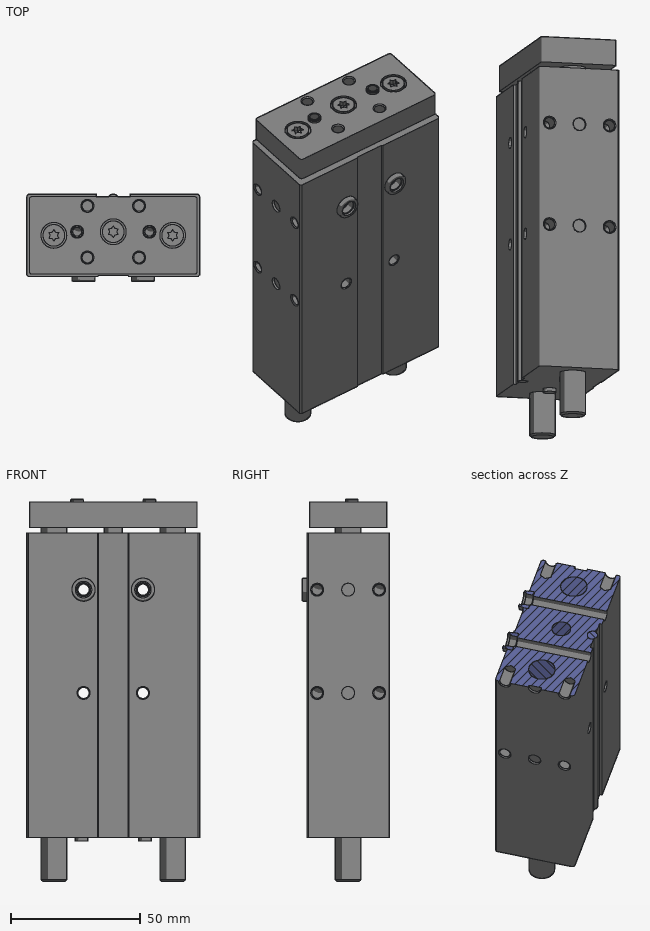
import cadquery as cq
import math

housing_width = 67.0
housing_depth = 32.0
housing_height = 118.0
front_edge_chamfer = 0.7
back_edge_radius = 1.2
front_channel_half_width = 5.7
front_channel_depth = 0.4
back_channel_half_width = 6.5
back_channel_depth = 1.0

plate_width = 65.0
plate_depth = 30.0
plate_height = 10.0
plate_gap = 2.0
plate_edge_radius = 1.0

guide_x = 23.0
guide_diameter = 10.0
guide_overhang = 17.0
guide_foot_chamfer = 0.7
head_rim_diameter = 8.4
head_rim_depth = 1.0
piston_y = 1.4
piston_diameter = 7.0
piston_insertion = 100.0
head_diameter = guide_diameter
head_height = 5.0

socket_tip_radius = 2.2
socket_root_radius = 1.4
socket_lobes = 6
socket_depth = 2.0

thread_core_diameter = 4.13
thread_mouth_diameter = 5.0
drill_tip_angle = 118.0
mount_hole_diameter = 4.3
mount_x = 11.5
lower_level = 56.0
upper_level = 96.0
mount_levels = (lower_level, upper_level)
side_thread_y = 12.0
side_thread_depth = 8.0
locating_hole_diameter = 5.0
locating_hole_depth = 1.0
plate_thread_offset = 10.0

sleeve_diameter = 9.0
sleeve_mouth_diameter = 6.4
sleeve_mouth_depth = 1.0
sleeve_bore = 5.4
sleeve_projection = 1.85
sleeve_insertion = 2.1
sleeve_rim_radius = 0.6

pin_x = 14.0
pin_diameter = 5.0
pin_bore = 3.4
pin_projection = 1.1
pin_insertion = 3.0
pin_bore_depth = 3.0
pin_chamfer = 0.3

plug_x = 12.3
plug_diameter = 5.0
plug_projection = 1.4

bar_diameter = 4.0

front_y = -housing_depth / 2
back_y = housing_depth / 2
side_x = housing_width / 2
back_floor_y = back_y - back_channel_depth
plate_bottom = housing_height + plate_gap
plate_top = plate_bottom + plate_height


def cylinder(start, direction, diameter, length):
    """Solid cylinder that runs from a start point along a direction."""
    return cq.Workplane(cq.Solid.makeCylinder(diameter / 2, length, cq.Vector(*start), cq.Vector(*direction)))


def cone(start, direction, start_diameter, end_diameter, length):
    """Solid cone or frustum that runs from a start point along a direction."""
    return cq.Workplane(
        cq.Solid.makeCone(
            start_diameter / 2, end_diameter / 2, length, cq.Vector(*start), cq.Vector(*direction)
        )
    )


def thread_mouth(start, direction):
    """45 degree countersink at the mouth of a threaded hole."""
    depth = (thread_mouth_diameter - thread_core_diameter) / 2
    return cone(start, direction, thread_mouth_diameter, thread_core_diameter, depth)


def drilled_hole(start, direction, diameter, depth):
    """Blind hole that ends in a drill tip."""
    tip_length = diameter / 2 / math.tan(math.radians(drill_tip_angle / 2))
    tip_start = cq.Vector(*start) + cq.Vector(*direction) * depth
    tip = cone(tip_start.toTuple(), direction, diameter, 0, tip_length)
    return cylinder(start, direction, diameter, depth).union(tip)


def star_socket(x, y):
    """Six-lobed screw socket sunk into the plate's top face."""
    points = []
    for step in range(2 * socket_lobes):
        radius = socket_root_radius if step % 2 else socket_tip_radius
        angle = math.pi / 2 + step * math.pi / socket_lobes
        points.append((x + radius * math.cos(angle), y + radius * math.sin(angle)))
    floor = cq.Workplane("XY", origin=(0, 0, plate_top - socket_depth))
    return floor.polyline(points).close().extrude(socket_depth)


def rim_step(x, y):
    """Ring that steps down the rim of a head below the plate's top face."""
    start = (x, y, plate_top - head_rim_depth)
    ring = cylinder(start, (0, 0, 1), head_diameter, head_rim_depth)
    return ring.cut(cylinder(start, (0, 0, 1), head_rim_diameter, head_rim_depth))


def make_guide(x):
    length = guide_overhang + plate_top
    rod = cylinder((x, 0, -guide_overhang), (0, 0, 1), guide_diameter, length)
    rod = rod.faces("<Z").chamfer(guide_foot_chamfer)
    return rod.cut(rim_step(x, 0)).cut(star_socket(x, 0))


def piston_blank():
    shank_bottom = housing_height - piston_insertion
    shank = cylinder((0, piston_y, shank_bottom), (0, 0, 1), piston_diameter, plate_top - shank_bottom)
    head = cylinder((0, piston_y, plate_top - head_height), (0, 0, 1), head_diameter, head_height)
    return shank.union(head)


def make_piston():
    return piston_blank().cut(rim_step(0, piston_y)).cut(star_socket(0, piston_y))


def make_sleeve(x):
    start = (x, front_y - sleeve_projection, upper_level)
    length = sleeve_projection + sleeve_insertion
    sleeve = cylinder(start, (0, 1, 0), sleeve_diameter, length)
    sleeve = sleeve.faces("<Y").edges().fillet(sleeve_rim_radius)
    sleeve = sleeve.cut(cylinder(start, (0, 1, 0), sleeve_bore, length))
    return sleeve.cut(cylinder(start, (0, 1, 0), sleeve_mouth_diameter, sleeve_mouth_depth))


def make_pin(x):
    top = plate_top + pin_projection
    length = pin_insertion + pin_projection
    pin = cylinder((x, piston_y, plate_top - pin_insertion), (0, 0, 1), pin_diameter, length)
    pin = pin.faces(">Z").chamfer(pin_chamfer)
    return pin.cut(drilled_hole((x, piston_y, top), (0, 0, -1), pin_bore, pin_bore_depth))


def make_bar():
    return cylinder((0, back_y - bar_diameter / 2, 0), (0, 0, 1), bar_diameter, housing_height)


def make_plate():
    underside = cq.Workplane("XY", origin=(0, 0, plate_bottom))
    plate = underside.rect(plate_width, plate_depth).extrude(plate_height)
    plate = plate.edges("|Z").fillet(plate_edge_radius)
    for side in (-1, 1):
        guide_seat = (side * guide_x, 0, plate_bottom)
        plate = plate.cut(cylinder(guide_seat, (0, 0, 1), guide_diameter, plate_height))
        pin_seat = (side * pin_x, piston_y, plate_top - pin_insertion)
        plate = plate.cut(cylinder(pin_seat, (0, 0, 1), pin_diameter, pin_insertion))
        for end in (-1, 1):
            place = (side * plate_thread_offset, piston_y + end * plate_thread_offset, plate_top)
            plate = plate.cut(cylinder(place, (0, 0, -1), thread_core_diameter, plate_height))
            plate = plate.cut(thread_mouth(place, (0, 0, -1)))
    return plate.cut(piston_blank())


def housing_block():
    block = cq.Workplane("XY").rect(housing_width, housing_depth).extrude(housing_height)
    block = block.edges("|Z and <Y").chamfer(front_edge_chamfer)
    block = block.edges("|Z and >Y").fillet(back_edge_radius)
    floor_y = front_y + front_channel_depth
    mouth_half_width = front_channel_half_width + front_channel_depth
    front_channel = (
        cq.Workplane("XY")
        .moveTo(-mouth_half_width, front_y)
        .lineTo(-front_channel_half_width, floor_y)
        .lineTo(front_channel_half_width, floor_y)
        .lineTo(mouth_half_width, front_y)
        .close()
        .extrude(housing_height)
    )
    back_channel = cq.Workplane("XY").box(
        2 * back_channel_half_width, back_channel_depth, housing_height, centered=(True, False, False)
    )
    return block.cut(front_channel).cut(back_channel.translate((0, back_floor_y, 0)))


def cut_mounting_holes(body):
    """Through holes from front to back; the upper pair has seats for the sleeves."""
    inward = (0, 1, 0)
    for x in (-mount_x, mount_x):
        for level in mount_levels:
            body = body.cut(cylinder((x, front_y, level), inward, mount_hole_diameter, housing_depth))
        body = body.cut(cylinder((x, front_y, upper_level), inward, sleeve_diameter, sleeve_insertion))
        body = body.cut(thread_mouth((x, front_y + sleeve_insertion, upper_level), inward))
        body = body.cut(thread_mouth((x, front_y, lower_level), inward))
    return body


def cut_side_holes(body):
    """Threaded holes and shallow locating holes on both narrow sides."""
    for side in (-1, 1):
        inward = (-side, 0, 0)
        for level in mount_levels:
            middle = (side * side_x, 0, level)
            body = body.cut(cylinder(middle, inward, locating_hole_diameter, locating_hole_depth))
            for y in (-side_thread_y, side_thread_y):
                place = (side * side_x, y, level)
                body = body.cut(drilled_hole(place, inward, thread_core_diameter, side_thread_depth))
                body = body.cut(thread_mouth(place, inward))
    return body


def make_housing():
    body = cut_side_holes(cut_mounting_holes(housing_block()))
    for side in (-1, 1):
        body = body.cut(cylinder((side * guide_x, 0, 0), (0, 0, 1), guide_diameter, housing_height))
        plug = cylinder((side * plug_x, 0, -plug_projection), (0, 0, 1), plug_diameter, plug_projection)
        body = body.union(plug)
    return body.cut(piston_blank()).cut(make_bar())


housing = make_housing()
plate = make_plate()
piston = make_piston()
bar = make_bar()
guides = [make_guide(x) for x in (-guide_x, guide_x)]
sleeves = [make_sleeve(x) for x in (-mount_x, mount_x)]
pins = [make_pin(x) for x in (-pin_x, pin_x)]

result = cq.Compound.makeCompound(
    [part.val() for part in (housing, plate, piston, bar, *guides, *sleeves, *pins)]
)